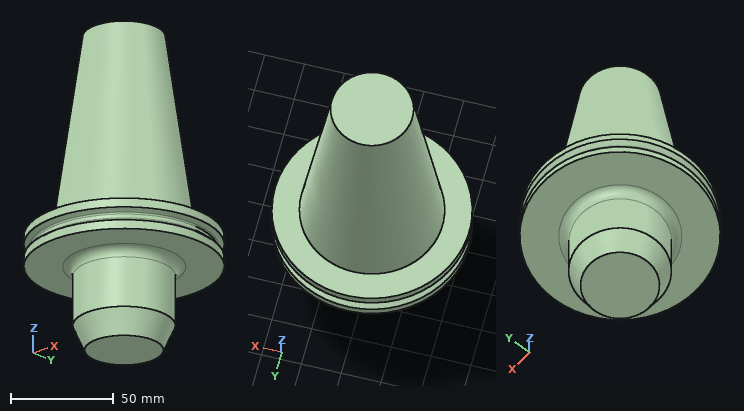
import cadquery as cq
import math

total_height = 164.8
taper_length = 104.8
flange_thickness = 16.0
nose_height = 12.9

flange_top = total_height - taper_length
flange_bottom = flange_top - flange_thickness

taper_large_radius = 70.7 / 2
taper_small_radius = 40.4 / 2

flange_radius = 97.5 / 2
groove_radius = 91.3 / 2
rim_thickness = 4.6
groove_wall_slope = math.radians(30)
groove_corner_radius = 1.0
groove_wall_height = (flange_radius - groove_radius) * math.tan(groove_wall_slope)
groove_top = flange_top - rim_thickness
groove_bottom = flange_bottom + rim_thickness

collar_radius = 50.0 / 2
nose_radius = 38.4 / 2
root_fillet_radius = 5.0


def make_body():
    """Revolve the taper, flange, collar and nose about the Z axis."""
    profile = (
        cq.Workplane("XZ")
        .moveTo(0, 0)
        .lineTo(nose_radius, 0)
        .lineTo(collar_radius, nose_height)
        .lineTo(collar_radius, flange_bottom - root_fillet_radius)
        .radiusArc((collar_radius + root_fillet_radius, flange_bottom), root_fillet_radius)
        .lineTo(flange_radius, flange_bottom)
        .lineTo(flange_radius, groove_bottom)
        .lineTo(groove_radius, groove_bottom + groove_wall_height)
        .lineTo(groove_radius, groove_top - groove_wall_height)
        .lineTo(flange_radius, groove_top)
        .lineTo(flange_radius, flange_top)
        .lineTo(taper_large_radius, flange_top)
        .lineTo(taper_small_radius, total_height)
        .lineTo(0, total_height)
        .close()
    )
    return profile.revolve(360, (0, 0, 0), (0, 1, 0))


def round_groove_corners(body):
    """Fillet the two circular edges where the groove walls meet its floor."""
    margin = 0.2
    reach = groove_radius + margin
    floor_corners = cq.selectors.BoxSelector(
        (-reach, -reach, groove_bottom + groove_wall_height - margin),
        (reach, reach, groove_top - groove_wall_height + margin),
        boundingbox=True,
    )
    return body.edges(floor_corners).edges("%CIRCLE").fillet(groove_corner_radius)


result = round_groove_corners(make_body())